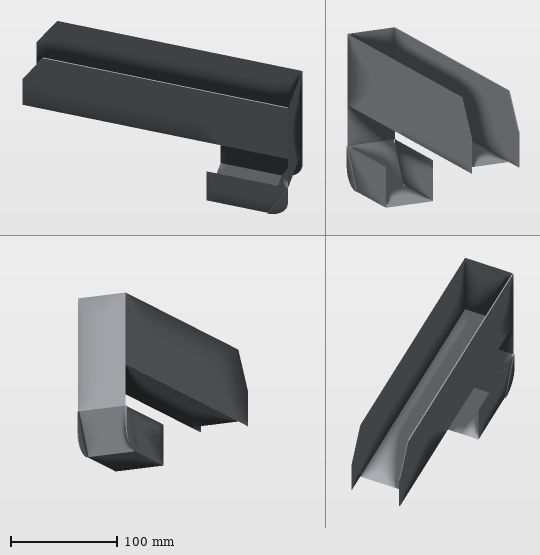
import cadquery as cq

sheet = 0.01
plate = 1.0

back_x = 260.0
width = 50.0
channel_start_x = 20.0
channel_bottom_z = 80.0
top_z = 150.0
hook_start_x = 180.0
hook_height = 40.0
slope_run = 20.0
corner_radius = 20.0

half_width = width / 2
slope_foot_x = back_x - slope_run
channel_height = top_z - channel_bottom_z
flap_tip_z = channel_bottom_z + channel_height / 2
inner_near_y = plate - half_width
inner_far_y = half_width - sheet
inner_width = inner_far_y - inner_near_y


def upright_plate(outline, thickness, near_y):
    """Extrude an XZ outline toward +Y, starting at near_y."""
    return outline.extrude(-thickness).translate((0, near_y, 0))


def box_at(length, depth, height, x, y, z):
    """Box placed by its lowest X, Y and Z corner."""
    return cq.Workplane("XY").box(length, depth, height, centered=False).translate((x, y, z))


def make_channel_floor():
    return box_at(
        back_x - channel_start_x, inner_width, sheet,
        channel_start_x, inner_near_y, channel_bottom_z,
    )


def make_channel_wall(thickness, near_y):
    return box_at(
        back_x - channel_start_x, thickness, channel_height,
        channel_start_x, near_y, channel_bottom_z,
    )


def make_flap(thickness, near_y):
    """Front extension of a channel wall, with its top edge sloping down to the tip."""
    outline = cq.Workplane("XZ").polyline([
        (0, channel_bottom_z),
        (channel_start_x, channel_bottom_z),
        (channel_start_x, top_z),
        (0, flap_tip_z),
    ]).close()
    return upright_plate(outline, thickness, near_y)


def make_back_plate():
    """End wall of the channel, carried down to the top of the hook."""
    return box_at(sheet, width, top_z - hook_height, back_x, -half_width, hook_height)


def make_hook():
    """Tray open at its top and front. Its sloping rear wall stops short of the near side wall."""
    side_outline = cq.Workplane("XZ").polyline([
        (hook_start_x, -sheet),
        (slope_foot_x, -sheet),
        (slope_foot_x, 0),
        (back_x, hook_height),
        (hook_start_x, hook_height),
    ]).close()
    cavity_outline = cq.Workplane("XZ").polyline([
        (hook_start_x, 0),
        (slope_foot_x - sheet, 0),
        (back_x - sheet, hook_height),
        (hook_start_x, hook_height),
    ]).close()
    rear_gap_outline = cq.Workplane("XZ").polyline([
        (slope_foot_x - sheet, 0),
        (slope_foot_x, 0),
        (back_x, hook_height),
        (back_x - sheet, hook_height),
    ]).close()
    wall_inner_y = sheet - half_width
    tray = upright_plate(side_outline, width, -half_width)
    cavity = upright_plate(cavity_outline, width - 2 * sheet, wall_inner_y)
    rear_gap = upright_plate(rear_gap_outline, inner_near_y - wall_inner_y, wall_inner_y)
    return tray.cut(cavity).cut(rear_gap)


def make_cheek(near_y):
    """Plate beside the sloping rear wall, with a rounded lower rear corner."""
    outline = (
        cq.Workplane("XZ")
        .moveTo(slope_foot_x, 0)
        .radiusArc((back_x, corner_radius), -corner_radius)
        .lineTo(back_x, hook_height)
        .close()
    )
    return upright_plate(outline, plate, near_y)


channel_floor = make_channel_floor()
back_plate = make_back_plate()
hook = make_hook()
channel_sides = ((plate, -half_width), (sheet, inner_far_y))
cheek_sides = (-half_width - plate, half_width)
channel_walls = [make_channel_wall(thickness, near_y).val() for thickness, near_y in channel_sides]
flaps = [make_flap(thickness, near_y).val() for thickness, near_y in channel_sides]
cheeks = [make_cheek(near_y).val() for near_y in cheek_sides]

result = cq.Compound.makeCompound([
    channel_floor.val(),
    *channel_walls,
    *flaps,
    back_plate.val(),
    hook.val(),
    *cheeks,
])